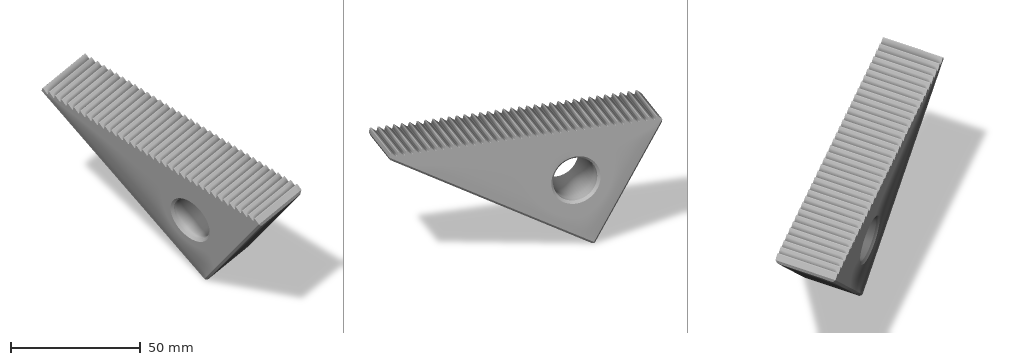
import cadquery as cq
import math

LENGTH = 111.1
WIDTH = 25.0
HALF_WIDTH = WIDTH / 2

TOOTH_COUNT = 35
TOOTH_PITCH = LENGTH / TOOTH_COUNT
TOOTH_RADIUS = 0.3
FIRST_TIP_X = 0.6
FACE_RAKE = math.radians(15)
BACK_SLOPE = math.radians(40)

RAMP_ANGLE = math.radians(30)
CHAMFER = 1.0

HOLE_DIAMETER = 18.0
HOLE_X = 75.8
HOLE_Z = -22.5


def along(point, angle, distance):
    """Point reached by moving a distance from a point in the XZ direction given by an angle."""
    return (point[0] + distance * math.cos(angle), point[1] + distance * math.sin(angle))


FACE_UP = math.pi / 2 - FACE_RAKE
BACK_UP = math.pi - BACK_SLOPE
RAMP_DOWN = -RAMP_ANGLE
END_DOWN = RAMP_DOWN - math.pi / 2

TIP_BISECTOR = (FACE_UP + BACK_UP) / 2
TIP_HALF_ANGLE = (BACK_UP - FACE_UP) / 2
CENTRE_OFFSET = TOOTH_RADIUS / math.sin(TIP_HALF_ANGLE)
TIP_Z = CENTRE_OFFSET * math.sin(TIP_BISECTOR) - TOOTH_RADIUS
SHARP_DEPTH = TOOTH_PITCH / (math.tan(FACE_RAKE) + 1 / math.tan(BACK_SLOPE))
LAST_TIP_X = FIRST_TIP_X + (TOOTH_COUNT - 1) * TOOTH_PITCH

LEFT_BEVEL_TOP = TIP_Z - FIRST_TIP_X / math.tan(FACE_RAKE)
LEFT_CORNER = along((0, LEFT_BEVEL_TOP), FACE_UP, -CHAMFER)
RIGHT_CORNER_X = LENGTH - CHAMFER * math.cos(END_DOWN)
RIGHT_CORNER = (RIGHT_CORNER_X, TIP_Z - (RIGHT_CORNER_X - LAST_TIP_X) * math.tan(BACK_SLOPE))

SPAN_X = RIGHT_CORNER[0] - LEFT_CORNER[0]
SPAN_Z = RIGHT_CORNER[1] - LEFT_CORNER[1]
RAMP_LENGTH = SPAN_X * math.cos(RAMP_DOWN) + SPAN_Z * math.sin(RAMP_DOWN)
BOTTOM_CORNER = along(LEFT_CORNER, RAMP_DOWN, RAMP_LENGTH)


def add_crest(outline, tip):
    """Continue the outline up a tooth face and over the rounded crest."""
    centre = along(tip, TIP_BISECTOR, -CENTRE_OFFSET)
    face_end = along(centre, FACE_UP + math.pi / 2, TOOTH_RADIUS)
    summit = along(centre, math.pi / 2, TOOTH_RADIUS)
    back_start = along(centre, BACK_UP - math.pi / 2, TOOTH_RADIUS)
    return outline.lineTo(*face_end).threePointArc(summit, back_start)


def add_root(outline, tip):
    """Continue the outline down a tooth back and round the root behind it."""
    sharp_root = along(tip, BACK_UP, -SHARP_DEPTH / math.sin(BACK_SLOPE))
    centre = along(sharp_root, TIP_BISECTOR, CENTRE_OFFSET)
    back_end = along(centre, BACK_UP + math.pi / 2, TOOTH_RADIUS)
    bottom = along(centre, -math.pi / 2, TOOTH_RADIUS)
    face_start = along(centre, FACE_UP - math.pi / 2, TOOTH_RADIUS)
    return outline.lineTo(*back_end).threePointArc(bottom, face_start)


def make_body():
    """Toothed wedge with its three corners bevelled, centred on Y = 0."""
    outline = cq.Workplane("XZ").moveTo(0, LEFT_BEVEL_TOP)
    for tooth in range(TOOTH_COUNT):
        tip = (FIRST_TIP_X + tooth * TOOTH_PITCH, TIP_Z)
        outline = add_crest(outline, tip)
        if tooth < TOOTH_COUNT - 1:
            outline = add_root(outline, tip)
    bevel_points = [
        along(RIGHT_CORNER, BACK_UP, CHAMFER),
        along(RIGHT_CORNER, END_DOWN, CHAMFER),
        along(BOTTOM_CORNER, END_DOWN, -CHAMFER),
        along(BOTTOM_CORNER, RAMP_DOWN, -CHAMFER),
        along(LEFT_CORNER, RAMP_DOWN, CHAMFER),
    ]
    for point in bevel_points:
        outline = outline.lineTo(*point)
    return outline.close().extrude(HALF_WIDTH, both=True)


def make_side_bevel(direction):
    """Bars that bevel both side edges of the face passing through the bottom corner in a direction."""
    edge_plane = cq.Plane(
        origin=(BOTTOM_CORNER[0], 0, BOTTOM_CORNER[1]),
        xDir=(0, 1, 0),
        normal=(math.cos(direction), 0, math.sin(direction)),
    )
    bars = cq.Workplane(edge_plane)
    for side in (-1, 1):
        edge_y = side * HALF_WIDTH
        bars = bars.polyline([
            (edge_y, -CHAMFER),
            (edge_y, CHAMFER),
            (edge_y - side * CHAMFER, 0),
        ]).close()
    return bars.extrude(LENGTH, both=True)


def make_hole():
    """Through hole along Y with bevelled rims on both sides."""
    radius = HOLE_DIAMETER / 2
    rim_radius = radius + CHAMFER
    shoulder = HALF_WIDTH - CHAMFER
    half_section = [
        (0, -HALF_WIDTH),
        (rim_radius, -HALF_WIDTH),
        (radius, -shoulder),
        (radius, shoulder),
        (rim_radius, HALF_WIDTH),
        (0, HALF_WIDTH),
    ]
    hole = cq.Workplane("XY").polyline(half_section).close().revolve(360, (0, 0), (0, 1))
    return hole.translate((HOLE_X, 0, HOLE_Z))


result = (
    make_body()
    .cut(make_side_bevel(RAMP_DOWN))
    .cut(make_side_bevel(END_DOWN))
    .cut(make_hole())
)